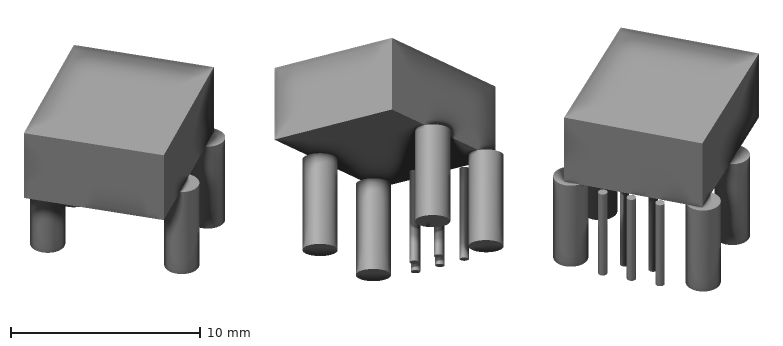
import cadquery as cq

overall_depth = 9.75
leg_length = 5.11

housing_width = 7.72
housing_depth = 9.2
housing_height = 4.04

post_diameter = 1.86
post_spacing_x = 7.4
post_spacing_y = 4.75
rear_post_inset = 0.6

pin_diameter = 0.5
pin_pitch = 0.8
pin_row_spacing = 1.2
rear_pin_count = 3
front_pin_count = 2
rear_pin_y = overall_depth - housing_depth - pin_diameter / 2


def make_housing():
    """Plain block standing on Z = 0 with its back face at Y = 0."""
    return cq.Workplane("XY").box(
        housing_width, housing_depth, housing_height, centered=(True, False, False)
    ).translate((0, -housing_depth, 0))


def make_leg(diameter, x, y):
    """Upright cylinder hanging down from the level of the housing's underside."""
    return cq.Workplane("XY").center(x, y).circle(diameter / 2).extrude(-leg_length)


def make_posts():
    posts = []
    for y in (-rear_post_inset, -rear_post_inset - post_spacing_y):
        for x in (-post_spacing_x / 2, post_spacing_x / 2):
            posts.append(make_leg(post_diameter, x, y).val())
    return posts


def make_pin_row(count, y):
    """Row of pins centred on X = 0, at twice the pitch so that the two rows interleave."""
    row_pitch = 2 * pin_pitch
    pins = []
    for index in range(count):
        x = (index - (count - 1) / 2) * row_pitch
        pins.append(make_leg(pin_diameter, x, y).val())
    return pins


housing = make_housing()
posts = make_posts()
rear_pins = make_pin_row(rear_pin_count, rear_pin_y)
front_pins = make_pin_row(front_pin_count, rear_pin_y - pin_row_spacing)

result = cq.Compound.makeCompound([housing.val(), *posts, *rear_pins, *front_pins])